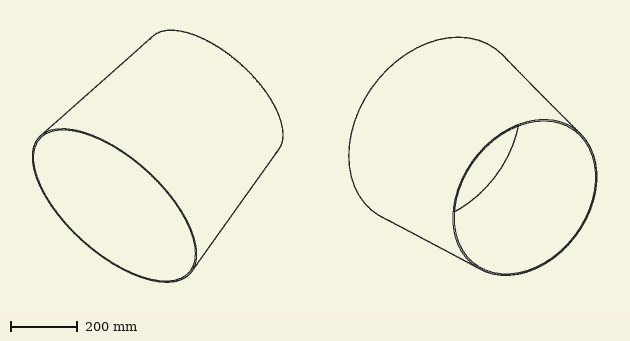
import cadquery as cq

large_diameter = 609.5
small_diameter = 508.0
length = 508.0
wall = 5.0

large_radius = large_diameter / 2
small_radius = small_diameter / 2
front_y = -length / 2
back_y = length / 2

wall_section = (
    cq.Workplane("XY")
    .moveTo(large_radius - wall, front_y)
    .lineTo(large_radius, front_y)
    .lineTo(small_radius, back_y)
    .lineTo(small_radius - wall, back_y)
    .close()
)

result = wall_section.revolve(360, (0, 0, 0), (0, 1, 0))